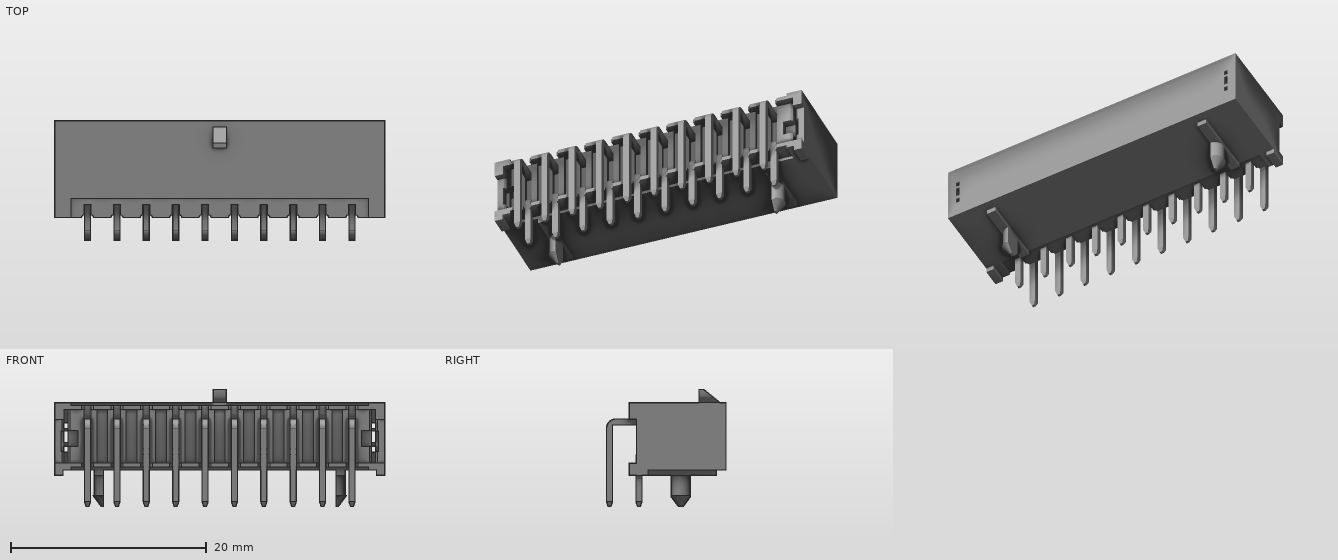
import cadquery as cq


HOUSING_WIDTH = 33.7
HOUSING_DEPTH = 9.9
HOUSING_TOP = 7.45
HOUSING_BOTTOM = 0.55

PIN_COUNT = 10
PITCH = 3.0
PIN_SIZE = 0.64
PIN_TIP_Z = -3.17
PIN_TAPER_LENGTH = 0.5
PIN_TIP_SIZE = 0.3
BEND_RADIUS = 1.0
UPPER_PIN_FRONT_Y = -2.32
UPPER_PIN_TOP_Z = HOUSING_TOP - 1.66
PIN_ROOT_Y = 2.5

CAVITY_HALF_WIDTH = 15.92
CAVITY_BOTTOM = HOUSING_TOP - 6.2
CAVITY_TOP = HOUSING_TOP - 0.72
CAVITY_DEPTH = 0.85
GROOVE_END_Y = 1.33
PIN_SLOT_WIDTH = 0.68
SPACE_GROOVE_WIDTH = 1.12
SLOT_CORNER_RADIUS = 0.27

STEP_HALF_WIDTH = 15.18
STEP_LENGTH = 1.93
STEP_DEPTH = 0.3

WALL_SETBACK = 0.74
WALL_SETBACK_TOP = HOUSING_TOP - 1.73
WALL_CHAMFER = 0.2
WALL_NOTCH_X = 16.23
WALL_NOTCH_DEPTH = 1.0
WALL_NOTCH_BOTTOM = HOUSING_TOP - 5.0
WALL_NOTCH_TOP = HOUSING_TOP - 2.93

SLIT_INNER_X = 15.5
SLIT_END_Y = 3.0
BLOCK_CHAMFER = 0.2
WINDOW_SPANS = [
    (HOUSING_TOP - 5.07, HOUSING_TOP - 4.47),
    (HOUSING_TOP - 4.07, HOUSING_TOP - 2.93),
    (HOUSING_TOP - 2.65, HOUSING_TOP - 2.07),
]

POCKET_INNER_X = 14.45
POCKET_BOTTOM = HOUSING_TOP - 4.47
POCKET_TOP = HOUSING_TOP - 2.85
POCKET_DEPTH = 0.95

LATCH_WIDTH = 1.36
LATCH_HEIGHT = 1.34
LATCH_FRONT_Y = 7.12
LATCH_CREST_Y = 7.62
LATCH_REAR_Y = 9.27

FOOT_WIDTH = 0.85
FOOT_LENGTH = STEP_LENGTH
RAIL_REAR_Y = 8.9
PEG_FLAT_X = 11.86
PEG_RADIUS = 0.98
PEG_Y = 5.28
PEG_CONE_TOP_Z = -2.05
PEG_LIP = 0.1
PEG_CONE_RADIUS = PEG_RADIUS + PEG_LIP
PEG_TIP_RADIUS = 0.25

PIN_XS = [(i - (PIN_COUNT - 1) / 2) * PITCH for i in range(PIN_COUNT)]
SPACE_XS = [x + PITCH / 2 for x in PIN_XS[:-1]]


def block(x0, x1, y0, y1, z0, z1):
    """Box between two opposite corners."""
    return cq.Workplane("XY").box(x1 - x0, y1 - y0, z1 - z0, centered=False).translate((x0, y0, z0))


def mirrored_pair(shape):
    """The shape together with its mirror image across the YZ plane."""
    return shape.union(shape.mirror("YZ"))


def housing_shell():
    half = HOUSING_WIDTH / 2
    shell = block(-half, half, 0, HOUSING_DEPTH, HOUSING_BOTTOM, HOUSING_TOP)
    for z in (HOUSING_BOTTOM, HOUSING_TOP - STEP_DEPTH):
        shell = shell.cut(block(-STEP_HALF_WIDTH, STEP_HALF_WIDTH, 0, STEP_LENGTH, z, z + STEP_DEPTH))
    return shell.cut(
        block(-CAVITY_HALF_WIDTH, CAVITY_HALF_WIDTH, 0, CAVITY_DEPTH, CAVITY_BOTTOM, CAVITY_TOP)
    )


def pin_slot():
    """Slot through both shelves for one pin column, with a mouth rounded on both sides."""
    half = PIN_SLOT_WIDTH / 2
    mouth = half + SLOT_CORNER_RADIUS
    return (
        cq.Workplane("XY", origin=(0, 0, HOUSING_BOTTOM))
        .moveTo(-mouth, 0)
        .radiusArc((-half, SLOT_CORNER_RADIUS), SLOT_CORNER_RADIUS)
        .lineTo(-half, GROOVE_END_Y)
        .lineTo(half, GROOVE_END_Y)
        .lineTo(half, SLOT_CORNER_RADIUS)
        .radiusArc((mouth, 0), SLOT_CORNER_RADIUS)
        .close()
        .extrude(HOUSING_TOP - HOUSING_BOTTOM - STEP_DEPTH)
    )


def space_groove():
    """Groove in the cavity wall midway between two pins."""
    half = SPACE_GROOVE_WIDTH / 2
    return block(-half, half, 0, GROOVE_END_Y, CAVITY_BOTTOM, CAVITY_TOP)


def end_cutouts():
    """Everything removed at the +X end: wall setback, slit, window, notch and pocket."""
    cut = block(
        CAVITY_HALF_WIDTH, HOUSING_WIDTH / 2, 0, WALL_SETBACK, CAVITY_BOTTOM, WALL_SETBACK_TOP
    )
    cut = cut.union(
        block(SLIT_INNER_X, CAVITY_HALF_WIDTH, 0, SLIT_END_Y, CAVITY_BOTTOM, CAVITY_TOP)
    )
    for bottom, top in WINDOW_SPANS:
        cut = cut.union(block(SLIT_INNER_X, CAVITY_HALF_WIDTH, 0, HOUSING_DEPTH, bottom, top))
    cut = cut.union(
        block(
            CAVITY_HALF_WIDTH, WALL_NOTCH_X,
            0, WALL_SETBACK + WALL_NOTCH_DEPTH,
            WALL_NOTCH_BOTTOM, WALL_NOTCH_TOP,
        )
    )
    cut = cut.union(
        block(
            POCKET_INNER_X, CAVITY_HALF_WIDTH,
            0, CAVITY_DEPTH + POCKET_DEPTH,
            POCKET_BOTTOM, POCKET_TOP,
        )
    )
    wall_chamfer = (
        cq.Workplane("XY", origin=(CAVITY_HALF_WIDTH, WALL_SETBACK, CAVITY_BOTTOM))
        .polyline([(0, 0), (WALL_CHAMFER, 0), (0, WALL_CHAMFER)])
        .close()
        .extrude(WALL_SETBACK_TOP - CAVITY_BOTTOM)
    )
    block_chamfer = (
        cq.Workplane("XY", origin=(SLIT_INNER_X, CAVITY_DEPTH, CAVITY_BOTTOM))
        .polyline([(0, 0), (-BLOCK_CHAMFER, 0), (0, BLOCK_CHAMFER)])
        .close()
        .extrude(CAVITY_TOP - CAVITY_BOTTOM)
    )
    return cut.union(wall_chamfer).union(block_chamfer)


def latch():
    return (
        cq.Workplane("YZ", origin=(-LATCH_WIDTH / 2, 0, HOUSING_TOP))
        .polyline([
            (LATCH_FRONT_Y, 0),
            (LATCH_FRONT_Y, LATCH_HEIGHT),
            (LATCH_CREST_Y, LATCH_HEIGHT),
            (LATCH_REAR_Y, 0),
        ])
        .close()
        .extrude(LATCH_WIDTH)
    )


def foot():
    half = HOUSING_WIDTH / 2
    return block(half - FOOT_WIDTH, half, 0, FOOT_LENGTH, 0, HOUSING_BOTTOM)


def peg():
    """Half-round peg on its rail at the +X end, flat towards the middle of the part.

    The cone starts wider than the shaft, leaving a small outward lip, and is trimmed to
    the width of the shaft along Y.
    """
    rail = block(PEG_FLAT_X, PEG_FLAT_X + PEG_RADIUS, FOOT_LENGTH, RAIL_REAR_Y, 0, HOUSING_BOTTOM)
    shaft = (
        cq.Workplane("XY", origin=(PEG_FLAT_X, PEG_Y, PEG_CONE_TOP_Z))
        .circle(PEG_RADIUS)
        .extrude(-PEG_CONE_TOP_Z)
    )
    cone = (
        cq.Workplane("XY", origin=(PEG_FLAT_X, PEG_Y, PEG_CONE_TOP_Z))
        .circle(PEG_CONE_RADIUS)
        .workplane(offset=PIN_TIP_Z - PEG_CONE_TOP_Z)
        .circle(PEG_TIP_RADIUS)
        .loft()
    )
    outer_side = block(
        PEG_FLAT_X, PEG_FLAT_X + PEG_CONE_RADIUS,
        PEG_Y - PEG_RADIUS, PEG_Y + PEG_RADIUS,
        PIN_TIP_Z, 0,
    )
    return rail.union(shaft.union(cone).intersect(outer_side))


def pin(front_y, top_z):
    """Square pin: rearward leg, outer bend radius, downward leg and tapered tip."""
    taper_z = PIN_TIP_Z + PIN_TAPER_LENGTH
    back_y = front_y + PIN_SIZE
    under_z = top_z - PIN_SIZE
    body = (
        cq.Workplane("YZ", origin=(-PIN_SIZE / 2, 0, 0))
        .moveTo(front_y, taper_z)
        .lineTo(front_y, top_z - BEND_RADIUS)
        .radiusArc((front_y + BEND_RADIUS, top_z), BEND_RADIUS)
        .lineTo(PIN_ROOT_Y, top_z)
        .lineTo(PIN_ROOT_Y, under_z)
        .lineTo(back_y, under_z)
        .lineTo(back_y, taper_z)
        .close()
        .extrude(PIN_SIZE)
    )
    tip = (
        cq.Workplane("XY", origin=(0, front_y + PIN_SIZE / 2, taper_z))
        .rect(PIN_SIZE, PIN_SIZE)
        .workplane(offset=-PIN_TAPER_LENGTH)
        .rect(PIN_TIP_SIZE, PIN_TIP_SIZE)
        .loft()
    )
    return body.union(tip)


part = housing_shell().cut(mirrored_pair(end_cutouts()))
for x in PIN_XS:
    part = part.cut(pin_slot().translate((x, 0, 0)))
for x in SPACE_XS:
    part = part.cut(space_groove().translate((x, 0, 0)))

part = part.union(latch()).union(mirrored_pair(foot())).union(mirrored_pair(peg()))

for x in PIN_XS:
    for row_offset in (0, PITCH):
        row_pin = pin(UPPER_PIN_FRONT_Y + row_offset, UPPER_PIN_TOP_Z - row_offset)
        part = part.union(row_pin.translate((x, 0, 0)))

result = part